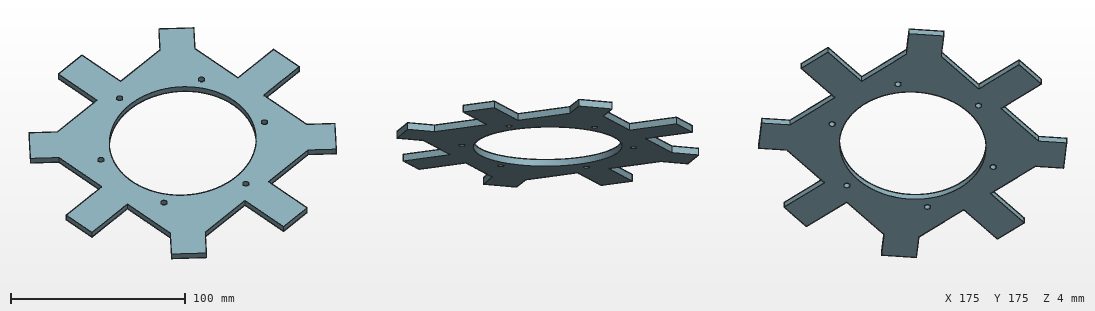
import cadquery as cq

thickness = 4.0
body_side = 115.0

arm_count = 8
arm_span = 175.0
arm_width = 20.0

opening_size_x = 82.5
opening_size_y = 85.5

hole_count = 6
hole_diameter = 3.5
hole_circle_radius = 49.0


def make_body():
    """Square plate centred on the Z axis, with its underside on Z = 0."""
    return cq.Workplane("XY").rect(body_side, body_side).extrude(thickness)


def make_arm_pair(angle):
    """Straight bar through the centre; its ends form two opposite arms."""
    bar = cq.Workplane("XY").rect(arm_span, arm_width).extrude(thickness)
    return bar.rotate((0, 0, 0), (0, 0, 1), angle)


def make_opening():
    """Elliptical cutter for the central opening, its long axis turned onto Y."""
    return (
        cq.Workplane("XY")
        .ellipse(opening_size_y / 2, opening_size_x / 2, rotation_angle=90)
        .extrude(thickness)
    )


def make_mounting_holes():
    """Cutters for the evenly spaced holes, the first one on the +X axis."""
    return (
        cq.Workplane("XY")
        .polarArray(hole_circle_radius, 0, 360, hole_count)
        .circle(hole_diameter / 2)
        .extrude(thickness)
    )


plate = make_body()
for pair in range(arm_count // 2):
    plate = plate.union(make_arm_pair(pair * 360 / arm_count))

result = plate.clean().cut(make_opening()).cut(make_mounting_holes())